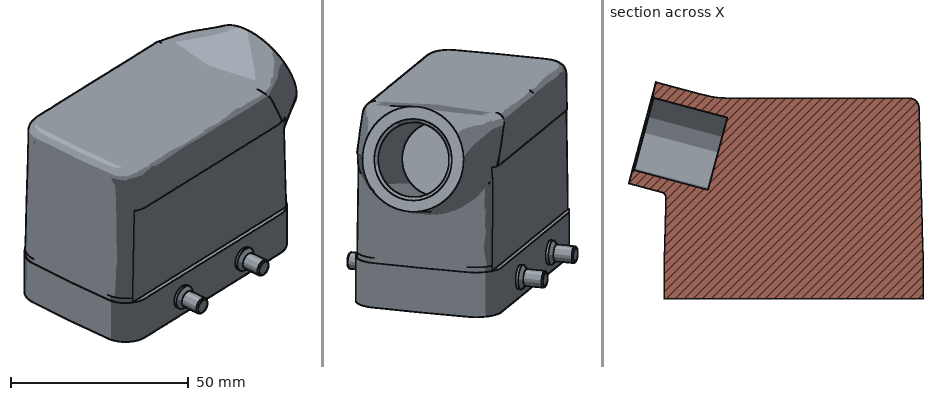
import cadquery as cq
import math

base_half_width = 21.5
base_half_length = 36.5
base_height = 13.1
band_half_width = 21.3
band_half_length = 36.4
band_top = 14.6
roof_height = 56.6
roof_half_width = 21.0
roof_half_length = 35.3
end_crown = 0.4
corner_radius = 7.5
roof_edge_radius = 3.0

recess_top = 43.3
recess_base_half_width = 20.15
recess_top_half_width = 20.0

pin_height = 6.0
pin_spacing = 26.0
pin_radius = 4.8 / 2
pin_chamfer = 0.4
pin_tip_x = 29.215
pin_root_x = 20.0
collar_radius = 7.0 / 2
collar_x = 22.3

entry_angle = math.radians(15.0)
entry_radius = 15.0
entry_lower_depth = 14.65
entry_top_z = 61.06
entry_tip_y = 46.48
entry_root_depth = 12.8
throat_fillet = 1.5
throat_reach = 4.9
bore_radius = 10.5
bore_depth = 22.0
countersink_radius = 11.5
countersink_depth = 0.55

crown_lean = math.radians(26.0)
crown_corner_y = 22.9
crown_toe_y = 19.1
crown_break_y = 27.1
crease_break_x = 10.9
crease_break_y = 29.5

mouth_y = entry_tip_y - entry_lower_depth * math.sin(entry_angle)
mouth_z = entry_top_z - entry_radius * math.cos(entry_angle)
clearance = 60.0
tolerance = 0.01
full_turn = 360
half_turn = 180


def entry_point(x, up, depth):
    """Point given across the hood, above the entry axis, and inward from the mouth."""
    y = mouth_y - up * math.sin(entry_angle) - depth * math.cos(entry_angle)
    z = mouth_z + up * math.cos(entry_angle) - depth * math.sin(entry_angle)
    return cq.Vector(x, y, z)


def on_middle(point):
    return cq.Vector(0, point.y, point.z)


mouth_center = entry_point(0, 0, 0)
inward = entry_point(0, 0, 1) - mouth_center
apex = entry_point(0, entry_radius, 0)
mouth_side = entry_point(entry_radius, 0, 0)
root_side = entry_point(roof_half_width, 0, entry_root_depth)
eave_z = roof_height - roof_edge_radius
eave_y = root_side.y - (eave_z - root_side.z) * math.tan(crown_lean)
eave = cq.Vector(roof_half_width, eave_y, eave_z)
corner = cq.Vector(roof_half_width - roof_edge_radius, crown_corner_y, roof_height)
toe = cq.Vector(0, crown_toe_y, roof_height)
break_z = apex.z - (apex.y - crown_break_y) * math.tan(entry_angle)
middle_break = cq.Vector(0, crown_break_y, break_z)
crease_break = cq.Vector(crease_break_x, crease_break_y, break_z)


def crowned_outline(half_width, half_length, z):
    """Rectangle whose two ends come to a shallow point in the middle."""
    side_end = half_length - end_crown
    points = [
        (half_width, -side_end),
        (half_width, side_end),
        (0, half_length),
        (-half_width, side_end),
        (-half_width, -side_end),
        (0, -half_length),
    ]
    return cq.Wire.makePolygon([cq.Vector(x, y, z) for x, y in points], close=True)


def crowned_block(lower_size, upper_size, bottom_z, top_z):
    """Block between two crowned outlines, with its four upright corners rounded."""
    outlines = [crowned_outline(*lower_size, bottom_z), crowned_outline(*upper_size, top_z)]
    block = cq.Workplane(obj=cq.Solid.makeLoft(outlines, True))
    corners = []
    for edge in block.edges().vals():
        center = edge.Center()
        is_upright = bottom_z + tolerance < center.z < top_z - tolerance
        if is_upright and abs(center.x) > corner_radius:
            corners.append(edge)
    return block.newObject(corners).fillet(corner_radius)


def hood_body():
    base_size = (base_half_width, base_half_length)
    band_size = (band_half_width, band_half_length)
    roof_size = (roof_half_width, roof_half_length)
    base = crowned_block(base_size, base_size, 0, base_height)
    band = crowned_block(band_size, band_size, base_height, band_top)
    upper = crowned_block(band_size, roof_size, band_top, roof_height)
    upper = upper.faces(">Z").edges().fillet(roof_edge_radius)
    return base.union(band).union(upper)


def crown_space():
    """Everything above the entry axis and beyond the crown's root, to clear from the body."""
    profile = [
        (root_side.y, root_side.z),
        (eave.y, eave.z),
        (corner.y, corner.z),
        (corner.y, roof_height + clearance),
        (root_side.y + clearance, roof_height + clearance),
        (root_side.y + clearance, root_side.z + clearance * math.tan(entry_angle)),
    ]
    return cq.Workplane("YZ").polyline(profile).close().extrude(clearance, both=True)


def easing_edge(start, end):
    """Curve that leaves along the flat slope from the apex and runs out level at the roof."""
    slope = start - apex
    level = cq.Vector(slope.x, slope.y, 0)
    return cq.Edge.makeSpline([start, end], tangents=[slope.normalized(), level.normalized()])


def flat_face(*points):
    return cq.Face.makeFromWires(cq.Wire.makePolygon(list(points), close=True))


def face_within(curve, *points):
    """Flat face bounded by a curve and by the straight path from its end back to its start."""
    path = [curve.endPoint(), *points, curve.startPoint()]
    lines = [cq.Edge.makeLine(first, second) for first, second in zip(path, path[1:])]
    return cq.Face.makeFromWires(cq.Wire.assembleEdges([curve, *lines]))


def crown_half_faces():
    """Faces of the crown's +X half, open at the middle plane."""
    diagonal = math.sqrt(0.5)
    mouth_middle = entry_point(entry_radius * diagonal, entry_radius * diagonal, 0)
    mouth_arc = cq.Edge.makeThreePointArc(apex, mouth_middle, mouth_side)
    eave_middle = cq.Vector(
        corner.x + roof_edge_radius * diagonal,
        eave.y + (corner.y - eave.y) * diagonal,
        eave.z + roof_edge_radius * diagonal,
    )
    eave_arc = cq.Edge.makeThreePointArc(corner, eave_middle, eave)
    crease_line = cq.Edge.makeLine(apex, crease_break)
    crease_easing = easing_edge(crease_break, corner)
    cheek_edge = cq.Edge.makeLine(mouth_side, eave)

    slope = flat_face(apex, middle_break, crease_break)
    easing = cq.Face.makeRuledSurface(easing_edge(middle_break, toe), crease_easing)
    shoulder_edges = [mouth_arc, cheek_edge, eave_arc, crease_easing, crease_line]
    shoulder = cq.Face.makeNSidedSurface(shoulder_edges, [])
    cheek = flat_face(mouth_side, root_side, eave)
    mouth = face_within(mouth_arc, mouth_center)
    floor = flat_face(mouth_side, root_side, on_middle(root_side), mouth_center)
    root = flat_face(root_side, eave, on_middle(eave), on_middle(root_side))
    upper_root = face_within(eave_arc, on_middle(eave), on_middle(corner))
    below_toe = flat_face(toe, corner, on_middle(corner))
    return [slope, easing, shoulder, cheek, mouth, floor, root, upper_root, below_toe]


def crown():
    half = crown_half_faces()
    other_half = [face.mirror("YZ") for face in half]
    shell = cq.Shell.makeShell(half + other_half)
    return cq.Workplane(obj=cq.Solid.makeSolid(shell).fix())


def half_ellipse(half_width, depth):
    """Closed lower half ellipse across the entry axis."""
    center = entry_point(0, 0, depth)
    across = cq.Vector(1, 0, 0)
    arc = cq.Edge.makeEllipse(
        half_width, entry_lower_depth, center, inward, across, half_turn, full_turn
    )
    return cq.Wire.assembleEdges([arc, cq.Edge.makeLine(arc.endPoint(), arc.startPoint())])


def lower_entry():
    mouth = half_ellipse(entry_radius, 0)
    root = half_ellipse(roof_half_width, entry_root_depth)
    return cq.Workplane(obj=cq.Solid.makeLoft([mouth, root], True))


def round_throat(hood):
    """Fillet where the underside of the entry meets the end wall."""
    underside_z = entry_point(0, -entry_lower_depth, entry_root_depth).z
    throat = cq.selectors.BoxSelector(
        (-roof_half_width, roof_half_length, underside_z),
        (roof_half_width, base_half_length, underside_z + throat_reach),
    )
    return hood.edges(throat).fillet(throat_fillet)


def bore():
    hole = cq.Solid.makeCylinder(bore_radius, bore_depth, mouth_center, inward)
    countersink = cq.Solid.makeCone(
        countersink_radius, bore_radius, countersink_depth, mouth_center, inward
    )
    return cq.Workplane(obj=hole).union(cq.Workplane(obj=countersink))


def side_recess(side):
    """Space beside the hood, from the base's top edge to under the eaves; side is 1 or -1."""
    profile = [
        (side * recess_base_half_width, base_height),
        (side * clearance, base_height),
        (side * clearance, recess_top),
        (side * recess_top_half_width, recess_top),
    ]
    return cq.Workplane("XZ").polyline(profile).close().extrude(base_half_length, both=True)


def locking_pin(side, y):
    """Stepped pin with a coned collar, pointing along X; side is 1 or -1."""
    profile = [
        (pin_root_x, 0),
        (pin_root_x, collar_radius),
        (collar_x, collar_radius),
        (collar_x + collar_radius - pin_radius, pin_radius),
        (pin_tip_x - pin_chamfer, pin_radius),
        (pin_tip_x, pin_radius - pin_chamfer),
        (pin_tip_x, 0),
    ]
    half_section = cq.Workplane("XY").polyline([(side * x, radius) for x, radius in profile]).close()
    pin = half_section.revolve(full_turn, (0, 0, 0), (1, 0, 0))
    return pin.translate((0, y, pin_height))


result = hood_body().cut(crown_space()).union(lower_entry()).union(crown())
for side in (-1, 1):
    result = result.cut(side_recess(side))
result = round_throat(result)
result = result.cut(bore())
for side in (-1, 1):
    for y in (-pin_spacing / 2, pin_spacing / 2):
        result = result.union(locking_pin(side, y))